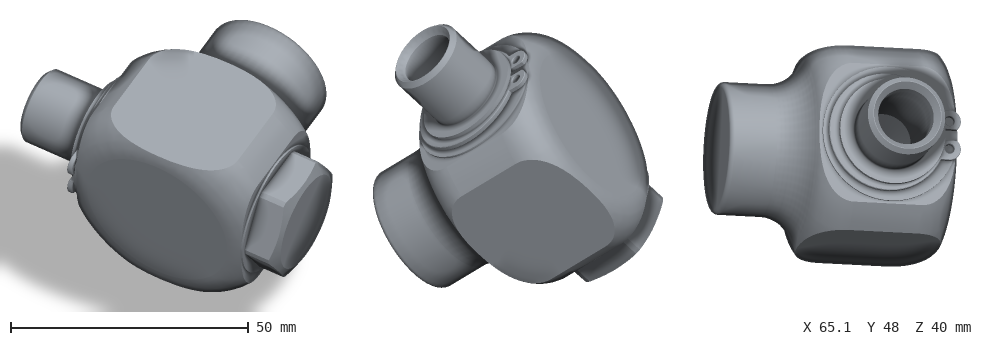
import cadquery as cq
import math


cube_size = 40.0
body_radius = 25.0
body_front = -15.0
blend_radius = 8.0
neck_radius = 14.0
neck_end = 33.0
neck_end_rounding = 1.0
back_blend_start = 7.75

boss_radius = 29.0 / 2
boss_height = 0.45
boss_face = cube_size / 2 + boss_height

stem_tip = -37.55
stem_radius = 16.65 / 2
stem_chamfer = 1.0
stem_root_rounding = 0.25
flange_radius = 22.7 / 2
flange_outer_face = -23.1
flange_thickness = 1.0
groove_radius = 21.5 / 2
bore_radius = 12.0 / 2
bore_mouth_radius = 7.2
bore_mouth_depth = 1.55
bore_bottom = -13.0
drill_tip_angle = 118.0

ring_outer_face = -21.95
ring_thickness = 1.1
ring_chamfer = 0.1
ring_radius = 12.6
ring_center_y = 0.8
lug_offset_y = -12.5
lug_offset_z = 3.0
lug_radius = 2.4
lug_root_y = -10.4
lug_gap = 2.35
lug_hole_diameter = 2.0

hex_end = 27.55
hex_across_flats = 24.0
hex_corner_radius = 27.1 / 2
hex_tip_radius = 21.5 / 2
hex_tip_slope = 25.0


def cylinder_x(radius, start, end):
    return cq.Workplane("YZ").workplane(offset=start).circle(radius).extrude(end - start)


def make_body():
    """Round body and neck about Y, joined by an S-shaped blend and cut flat on four sides."""
    drop = (body_radius - neck_radius) / 2
    blend_angle = math.acos(1 - drop / blend_radius)
    blend_length = blend_radius * math.sin(blend_angle)
    half_drop = blend_radius * (1 - math.cos(blend_angle / 2))
    half_length = blend_radius * math.sin(blend_angle / 2)
    middle_y = back_blend_start + blend_length
    neck_start = middle_y + blend_length
    front_arc_inset = blend_radius * (1 - math.sqrt(0.5))

    profile = (
        cq.Workplane("XY")
        .moveTo(0, body_front)
        .lineTo(body_radius - blend_radius, body_front)
        .threePointArc(
            (body_radius - front_arc_inset, body_front + front_arc_inset),
            (body_radius, body_front + blend_radius),
        )
        .lineTo(body_radius, back_blend_start)
        .threePointArc(
            (body_radius - half_drop, back_blend_start + half_length),
            (body_radius - drop, middle_y),
        )
        .threePointArc(
            (neck_radius + half_drop, neck_start - half_length),
            (neck_radius, neck_start),
        )
        .lineTo(neck_radius, neck_end)
        .lineTo(0, neck_end)
        .close()
    )
    turned = profile.revolve(360, (0, 0, 0), (0, 1, 0))
    turned = turned.faces(">Y").edges().fillet(neck_end_rounding)
    length = neck_end - body_front
    block = cq.Workplane("XY").box(cube_size, length, cube_size)
    return turned.intersect(block.translate((0, (neck_end + body_front) / 2, 0)))


def make_stem():
    """Stem, flange and ring groove, down to the body centre."""
    stem = cylinder_x(stem_radius, stem_tip, 0).faces("<X").chamfer(stem_chamfer)
    flange = cylinder_x(flange_radius, flange_outer_face, flange_outer_face + flange_thickness)
    core = cylinder_x(groove_radius, flange_outer_face, 0)
    root = stem.union(flange).union(core)
    corner = cq.selectors.BoxSelector(
        (flange_outer_face - 0.05, -stem_radius - 0.05, -stem_radius - 0.05),
        (flange_outer_face + 0.05, stem_radius + 0.05, stem_radius + 0.05),
        boundingbox=True,
    )
    return root.edges(corner).fillet(stem_root_rounding)


def make_bore():
    """Blind bore with a conical mouth and a drilled tip."""
    tip_depth = bore_radius / math.tan(math.radians(drill_tip_angle / 2))
    return (
        cq.Workplane("XY")
        .moveTo(stem_tip, 0)
        .lineTo(stem_tip, bore_mouth_radius)
        .lineTo(stem_tip + bore_mouth_depth, bore_radius)
        .lineTo(bore_bottom, bore_radius)
        .lineTo(bore_bottom + tip_depth, 0)
        .close()
        .revolve(360, (0, 0, 0), (1, 0, 0))
    )


def make_retaining_ring():
    """Open ring with two drilled lugs side by side at -Y."""
    plane = cq.Workplane("YZ").workplane(offset=ring_outer_face)
    lug_centers = [(lug_offset_y, lug_offset_z), (lug_offset_y, -lug_offset_z)]
    ring = plane.center(ring_center_y, 0).circle(ring_radius).extrude(ring_thickness)
    lug_rounds = plane.pushPoints(lug_centers).circle(lug_radius).extrude(ring_thickness)
    lug_width = 2 * (lug_offset_z + lug_radius)
    lug_roots = (
        plane.center((lug_offset_y + lug_root_y) / 2, 0)
        .rect(lug_root_y - lug_offset_y, lug_width)
        .extrude(ring_thickness)
    )
    gap = plane.center(lug_offset_y, 0).rect(2 * lug_radius, lug_gap).extrude(ring_thickness)
    holes = plane.pushPoints(lug_centers).circle(lug_hole_diameter / 2).extrude(ring_thickness)
    ring = ring.union(lug_rounds).union(lug_roots).cut(gap).cut(holes)
    return ring.faces("<X or >X").chamfer(ring_chamfer)


def make_hexagon():
    """Hexagon with flats facing up and down, turned corners and a conical tip."""
    across_corners = hex_across_flats / math.cos(math.radians(30))
    hexagon = cq.Workplane("YZ").polygon(6, across_corners).extrude(hex_end)
    cone_depth = (hex_corner_radius - hex_tip_radius) * math.tan(math.radians(hex_tip_slope))
    envelope = (
        cq.Workplane("XY")
        .lineTo(0, hex_corner_radius)
        .lineTo(hex_end - cone_depth, hex_corner_radius)
        .lineTo(hex_end, hex_tip_radius)
        .lineTo(hex_end, 0)
        .close()
        .revolve(360, (0, 0, 0), (1, 0, 0))
    )
    return hexagon.intersect(envelope)


result = (
    make_body()
    .union(cylinder_x(boss_radius, -boss_face, boss_face))
    .union(make_stem())
    .union(make_retaining_ring())
    .union(make_hexagon())
    .cut(make_bore())
)